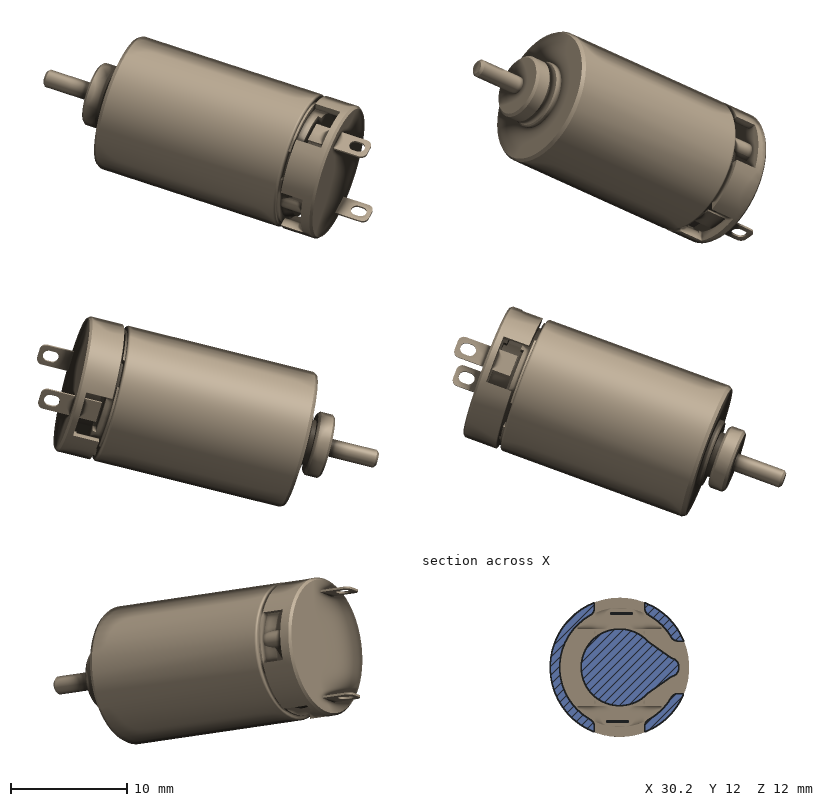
import cadquery as cq
import math


length = 30.2
collar_start = 4.47
collar_end = 5.98
flange_start = 6.45
body_start = 6.92
rim_start = 23.85
rim_end = 24.05
cap_start = 24.25
neck_end = 24.9
cap_floor = 26.27
cap_end = 27.3

outer_diameter = 12.0
shaft_radius = 0.8
collar_radius = 2.8
boss_radius = 2.0
flange_radius = 3.0
body_radius = outer_diameter / 2
rim_radius = 5.6
neck_radius = 4.98
cap_inner_radius = 5.13
neck_tip_radius = 4.65
core_radius = 3.32

shaft_chamfer = 0.2
collar_chamfer = 0.2
flange_chamfer = 0.12
front_edge_length = 0.3
rear_edge_length = 0.2
edge_drop = 0.18

rim_gap_angle = 26.0
rim_gap_directions = (45, 135, 225, 315)

brush_window_width = 4.3
brush_window_end = 26.58
brush_pocket_end = 26.88
brush_pocket_width = 7.25
brush_sides = (0, 180)
side_window_width = 4.47
window_lip_fillet = 0.72

notch_width = 3.75
notch_depth = 0.3

post_reach = 5.13
nose_depth = 0.35
nose_half_width = 0.7
post_root = 4.38
post_root_half_width = 0.88

terminal_width = 1.9
terminal_thickness = 0.18
terminal_height = 4.65
terminal_offset = 0.18
terminal_corner = 0.55
eyelet_length = 1.4
eyelet_width = 1.03
eyelet_center = 29.1


def cylinder(start, end, radius):
    return cq.Workplane("YZ").workplane(offset=start).circle(radius).extrude(end - start)


def block(x_range, y_range, z_range):
    sizes = [high - low for low, high in (x_range, y_range, z_range)]
    corner = (x_range[0], y_range[0], z_range[0])
    return cq.Workplane("XY").box(*sizes, centered=False).translate(corner)


def turn(shape, angle):
    return shape.rotate((0, 0, 0), (1, 0, 0), angle)


def make_front():
    """Shaft, collar, bearing boss and flange ahead of the body."""
    shaft = cylinder(0, collar_start, shaft_radius).faces("<X").chamfer(shaft_chamfer)
    collar = cylinder(collar_start, collar_end, collar_radius).edges().chamfer(collar_chamfer)
    boss = cylinder(collar_end, flange_start, boss_radius)
    flange = cylinder(flange_start, body_start, flange_radius).faces("<X").chamfer(flange_chamfer)
    return shaft.union(collar).union(boss).union(flange)


def make_body():
    """Can with a chamfered front, rounded rear edge, crimped rim and tapered neck."""
    shoulder_radius = body_radius - edge_drop
    arc_share = math.sqrt(0.5)
    arc_middle = (
        rim_start - rear_edge_length * (1 - arc_share),
        shoulder_radius + edge_drop * arc_share,
    )
    return (
        cq.Workplane("XY")
        .moveTo(body_start, 0)
        .lineTo(body_start, shoulder_radius)
        .lineTo(body_start + front_edge_length, body_radius)
        .lineTo(rim_start - rear_edge_length, body_radius)
        .threePointArc(arc_middle, (rim_start, shoulder_radius))
        .lineTo(rim_start, rim_radius)
        .lineTo(rim_end, rim_radius)
        .lineTo(rim_end, neck_radius)
        .lineTo(neck_end, neck_tip_radius)
        .lineTo(neck_end, 0)
        .close()
        .revolve(360, (0, 0, 0), (1, 0, 0))
    )


def make_rim_gap():
    """Sector of the rim, outside the neck, centred on the +Y axis."""
    far = 2 * body_radius
    half_spread = far * math.tan(math.radians(rim_gap_angle / 2))
    wedge = (
        cq.Workplane("YZ")
        .workplane(offset=rim_start)
        .polyline([(0, 0), (far, -half_spread), (far, half_spread)])
        .close()
        .extrude(rim_end - rim_start)
    )
    return wedge.cut(cylinder(rim_start, rim_end, neck_radius))


def make_post():
    """Round-nosed post with flaring flanks, widening into a wedge that meets the core."""
    nose_end = nose_depth - post_reach
    half_side = side_window_width / 2
    wedge_end = -math.sqrt(core_radius**2 - half_side**2)
    wedge = (
        cq.Workplane("YZ")
        .workplane(offset=neck_end)
        .moveTo(-post_root, -post_root_half_width)
        .lineTo(wedge_end, -half_side)
        .lineTo(wedge_end, half_side)
        .lineTo(-post_root, post_root_half_width)
        .close()
        .extrude(cap_floor - neck_end)
    )
    post = (
        cq.Workplane("YZ")
        .workplane(offset=rim_end)
        .moveTo(nose_end, nose_half_width)
        .threePointArc((-post_reach, 0), (nose_end, -nose_half_width))
        .lineTo(-post_root, -post_root_half_width)
        .lineTo(-post_root, post_root_half_width)
        .close()
        .extrude(cap_floor - rim_end)
    )
    return wedge.union(post)


def is_inner_lip(edge):
    """True for the long window edges on the inner wall of the cap."""
    center = edge.Center()
    return abs(math.hypot(center.y, center.z) - cap_inner_radius) < window_lip_fillet / 2


def make_cap():
    """Cup-shaped end cap with three windows, brush pockets, a solid core and a post."""
    cap = cylinder(cap_start, cap_end, body_radius)
    cap = cap.faces(">X").chamfer(rear_edge_length, edge_drop)
    cap = cap.cut(cylinder(cap_start, cap_floor, cap_inner_radius))

    half_brush = brush_window_width / 2
    brush_window = block(
        (cap_start, brush_window_end), (-half_brush, half_brush), (0, body_radius)
    )
    half_pocket = brush_pocket_width / 2
    brush_pocket = block(
        (cap_floor, brush_pocket_end),
        (-half_pocket, half_pocket),
        (core_radius, cap_inner_radius),
    ).intersect(cylinder(cap_floor, brush_pocket_end, cap_inner_radius))
    for angle in brush_sides:
        cap = cap.cut(turn(brush_window, angle))

    half_side = side_window_width / 2
    side_window = block(
        (cap_start, cap_floor), (-body_radius, 0), (-half_side, half_side)
    )
    cap = cap.cut(side_window)
    cap = cap.edges("|X").filter(is_inner_lip).fillet(window_lip_fillet)
    for angle in brush_sides:
        cap = cap.cut(turn(brush_pocket, angle))

    core = cylinder(neck_end, cap_end - rear_edge_length, core_radius)
    return cap.union(core).union(make_post())


def make_terminal(side):
    """Flat eyelet tab; side is +1 for the upper terminal and -1 for the lower."""
    tab_length = length - neck_end
    tab = (
        cq.Workplane("XY")
        .box(tab_length, terminal_width, terminal_thickness)
        .translate((neck_end + tab_length / 2, 0, 0))
        .edges("|Z and >X")
        .fillet(terminal_corner)
    )
    eyelet = (
        cq.Workplane("XY")
        .center(eyelet_center, 0)
        .slot2D(eyelet_length, eyelet_width)
        .extrude(terminal_thickness, both=True)
    )
    place = (0, -side * terminal_offset, side * terminal_height)
    return tab.cut(eyelet).translate(place)


body = make_body()
rim_gap = make_rim_gap()
for diagonal in rim_gap_directions:
    body = body.cut(turn(rim_gap, diagonal))

half_notch = notch_width / 2
notch = block(
    (neck_end - notch_depth, neck_end),
    (-half_notch, half_notch),
    (core_radius, neck_radius),
)
for angle in brush_sides:
    body = body.cut(turn(notch, angle))

result = make_front().union(body).union(make_cap())
for side in (1, -1):
    result = result.union(make_terminal(side))